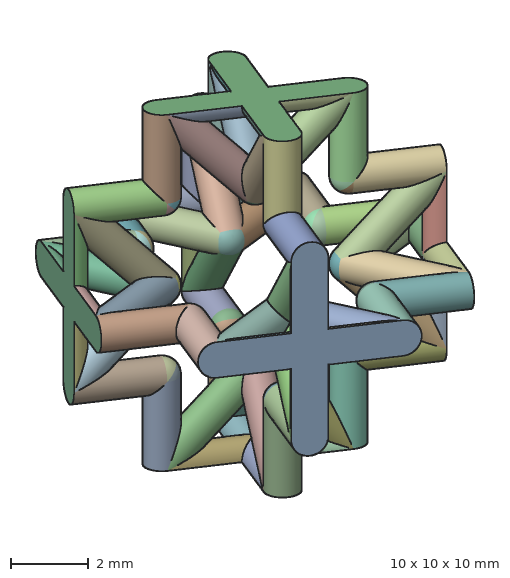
import cadquery as cq

CELL_SIZE = 10.0
STRUT_DIAMETER = 1.0

strut_radius = STRUT_DIAMETER / 2
half_cell = CELL_SIZE / 2
node_offset = CELL_SIZE / 4
ARMS_PER_FACE = 4

X_AXIS = cq.Vector(1, 0, 0)
Y_AXIS = cq.Vector(0, 1, 0)


def strut(start, end):
    """Cylinder along the line from start to end."""
    start_point = cq.Vector(*start)
    axis = cq.Vector(*end) - start_point
    return cq.Solid.makeCylinder(strut_radius, axis.Length, start_point, axis)


def ball(center):
    """Ball that rounds the strut ends meeting at a node."""
    return cq.Workplane("XY").sphere(strut_radius).translate(center).val()


def face_arm():
    """One arm of the top cross, the leg below its tip and the diagonal from the tip to the apex."""
    face_center = (0, 0, half_cell)
    arm_tip = (node_offset, 0, half_cell)
    leg_corner = (node_offset, 0, node_offset)
    apex = (0, 0, node_offset)
    return [
        strut(face_center, arm_tip),
        strut(arm_tip, leg_corner),
        ball(leg_corner),
        strut(arm_tip, apex),
        ball(apex),
    ]


def face_sector():
    """Pyramid from the cell center to the top face; its slopes are the miter planes of the legs."""
    profile = cq.Workplane("XZ").polyline([(0, 0), (half_cell, half_cell), (-half_cell, half_cell)]).close()
    wedge = profile.extrude(half_cell, both=True)
    return wedge.intersect(wedge.rotate((0, 0, 0), (0, 0, 1), 90)).val()


def face_frame():
    """Four arms around the Z axis, kept within the top one of the cell's six pyramid sectors."""
    arm = face_arm()
    parts = []
    for index in range(ARMS_PER_FACE):
        angle = index * 360 / ARMS_PER_FACE
        parts += [part.rotate(cq.Vector(), cq.Vector(0, 0, 1), angle) for part in arm]
    return parts[0].fuse(*parts[1:]).intersect(face_sector())


frame = face_frame()
frames = [frame.rotate(cq.Vector(), X_AXIS, angle) for angle in (0, 90, 180, 270)]
frames += [frame.rotate(cq.Vector(), Y_AXIS, angle) for angle in (90, 270)]
result = cq.Workplane(frames[0].fuse(*frames[1:]).clean())